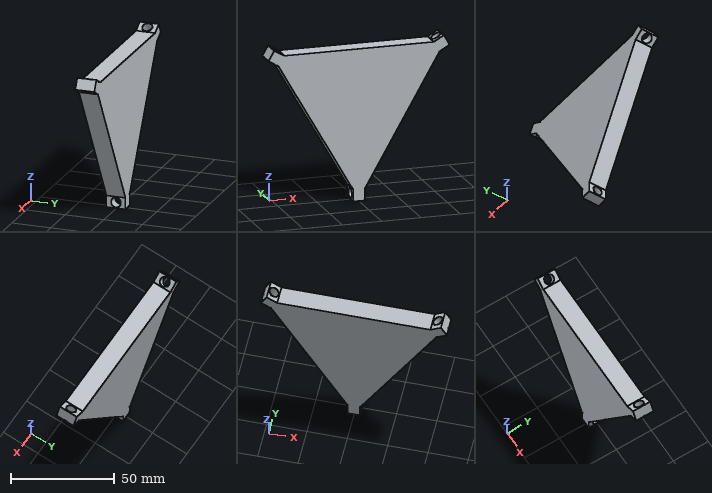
import cadquery as cq
import math

span_x = 92.4
thickness = 10.0
tab_width = 6.0
tab_length = 6.0
hole_diameter = 5.0

tab_angles = (30, 150, 270)
half_tab = tab_width / 2
cos30 = math.cos(math.radians(30))
tip_radius = (span_x / 2 - half_tab / 2) / cos30
root_radius = tip_radius - tab_length
hole_radius = tip_radius - tab_length / 2


def place(radial, sideways, angle):
    """Turn a point of the tab pointing along +X to the given angle."""
    a = math.radians(angle)
    return (
        radial * math.cos(a) - sideways * math.sin(a),
        radial * math.sin(a) + sideways * math.cos(a),
    )


def plate():
    """Triangle with its corners cut off and carried out as square tabs."""
    tab_corners = (
        (root_radius, -half_tab),
        (tip_radius, -half_tab),
        (tip_radius, half_tab),
        (root_radius, half_tab),
    )
    outline = [place(r, s, angle) for angle in tab_angles for r, s in tab_corners]
    return cq.Workplane("XZ").polyline(outline).close().extrude(thickness / 2, both=True)


def tab_hole(angle):
    """Cutter running across one tab, inside the plane of the plate."""
    x, z = place(hole_radius, -tab_width, angle)
    across_x, across_z = place(0, 1, angle)
    return cq.Workplane(
        cq.Solid.makeCylinder(
            hole_diameter / 2,
            2 * tab_width,
            cq.Vector(x, 0, z),
            cq.Vector(across_x, 0, across_z),
        )
    )


result = plate()
for tab_angle in tab_angles:
    result = result.cut(tab_hole(tab_angle))